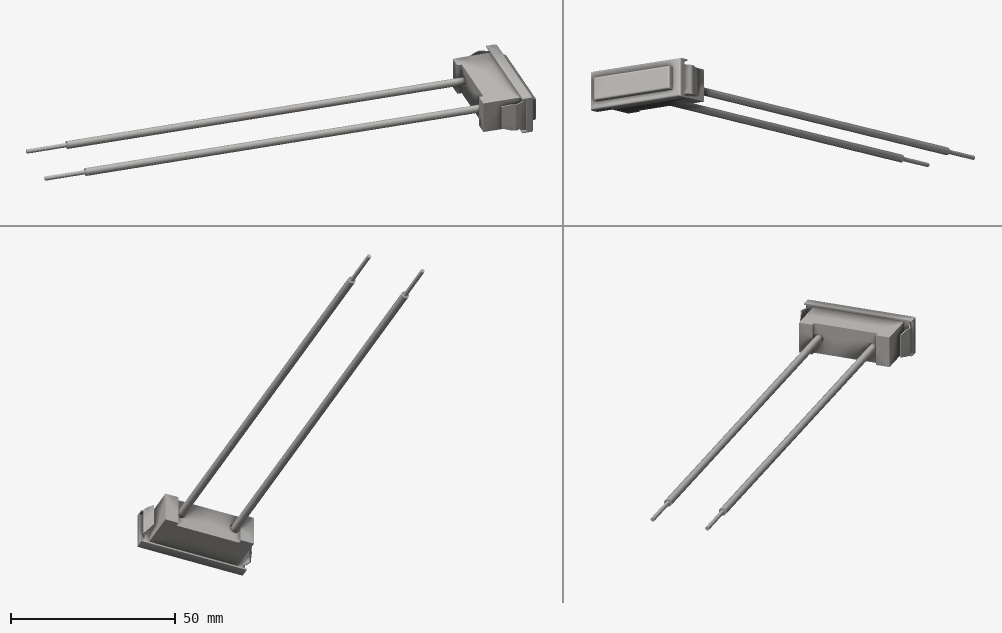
import cadquery as cq


overall_width = 35.63
overall_length = 155.45

bezel_width = 35.1
bezel_height = 11.91
bezel_depth = 3.5
plate_thickness = 2.1
rim_thickness = 0.5
pad_width = 33.2
pad_thickness = 1.0

lens_width = 29.5
lens_height = 7.2
lens_depth = 1.95
front_radius = 0.6

case_width = 29.5
case_height = 9.95
case_depth = 11.6
recess_width = 20.8
recess_depth = 1.4

clip_thickness = 0.3
clip_height = 9.0
clip_root_inset = 1.3
clip_shoulder_inset = 0.2
clip_shoulder_y = -1.4
clip_bulge_y = -2.1
clip_tip_inset = 1.35
clip_tip_y = -6.25
clip_taper_start_y = -3.4
clip_taper = 0.8

wire_spacing = 17.8
insulation_diameter = 2.4
conductor_diameter = 1.3
bare_length = 12.9
wire_hole_diameter = 3.2
wire_hole_depth = 1.0

plate_rear = bezel_depth - plate_thickness
pad_rear = plate_rear - pad_thickness
lens_front = bezel_depth + lens_depth
recess_floor = recess_depth - case_depth
wire_start = recess_floor + wire_hole_depth
conductor_end = lens_front - overall_length
insulation_end = conductor_end + bare_length
inner_height = bezel_height - 2 * rim_thickness
wire_positions = [-wire_spacing / 2, wire_spacing / 2]


def block(width, height, rear, front):
    """A box centred on X and Z that runs from rear to front along Y."""
    return cq.Workplane("XY").box(width, front - rear, height).translate((0, (rear + front) / 2, 0))


def rod(diameter, x, start, end):
    """A cylinder along Y from start back to end."""
    return cq.Workplane("XZ", origin=(x, start, 0)).circle(diameter / 2).extrude(start - end)


def make_bezel():
    bezel = block(bezel_width, bezel_height, 0, bezel_depth).faces(">Y").edges().fillet(front_radius)
    bezel = bezel.cut(block(bezel_width, inner_height, 0, plate_rear))
    return bezel.union(block(pad_width, inner_height, pad_rear, plate_rear))


def make_lens():
    return block(lens_width, lens_height, plate_rear, lens_front).faces(">Y").edges().fillet(front_radius)


def make_case():
    case = block(case_width, case_height, -case_depth, plate_rear)
    case = case.cut(block(recess_width, case_height, -case_depth, recess_floor))
    for x in wire_positions:
        case = case.cut(rod(wire_hole_diameter, x, wire_start, recess_floor))
    return case


def make_clip():
    """The +X clip: a thin strip that slopes outwards, bulges and returns to a tapered tip."""
    bulge_x = (overall_width - clip_thickness) / 2
    shoulder_x = bulge_x - clip_shoulder_inset
    bulge_end_y = 2 * clip_bulge_y - clip_shoulder_y
    middle_line = (
        cq.Workplane("XY")
        .moveTo(bulge_x - clip_root_inset, pad_rear + clip_thickness)
        .lineTo(shoulder_x, clip_shoulder_y)
        .threePointArc((bulge_x, clip_bulge_y), (shoulder_x, bulge_end_y))
        .lineTo(bulge_x - clip_tip_inset, clip_tip_y)
    )
    strip = middle_line.offset2D(clip_thickness / 2).extrude(clip_height / 2, both=True)
    side_outline = (
        cq.Workplane("YZ")
        .moveTo(bezel_depth, clip_height / 2)
        .lineTo(clip_taper_start_y, clip_height / 2)
        .lineTo(clip_tip_y - clip_thickness, clip_height / 2 - clip_taper)
        .lineTo(clip_tip_y - clip_thickness, clip_taper - clip_height / 2)
        .lineTo(clip_taper_start_y, -clip_height / 2)
        .lineTo(bezel_depth, -clip_height / 2)
        .close()
        .extrude(overall_width / 2)
    )
    return strip.intersect(side_outline)


def make_housing():
    clip = make_clip()
    housing = make_bezel().union(make_lens()).union(make_case())
    return housing.union(clip).union(clip.mirror("YZ")).solids()


def make_conductor(x):
    return rod(conductor_diameter, x, wire_start, conductor_end)


def make_insulation(x):
    return rod(insulation_diameter, x, wire_start, insulation_end).cut(make_conductor(x))


housing = make_housing()
conductors = [make_conductor(x) for x in wire_positions]
insulations = [make_insulation(x) for x in wire_positions]

result = cq.Compound.makeCompound(
    [housing.val()]
    + [conductor.val() for conductor in conductors]
    + [insulation.val() for insulation in insulations]
)